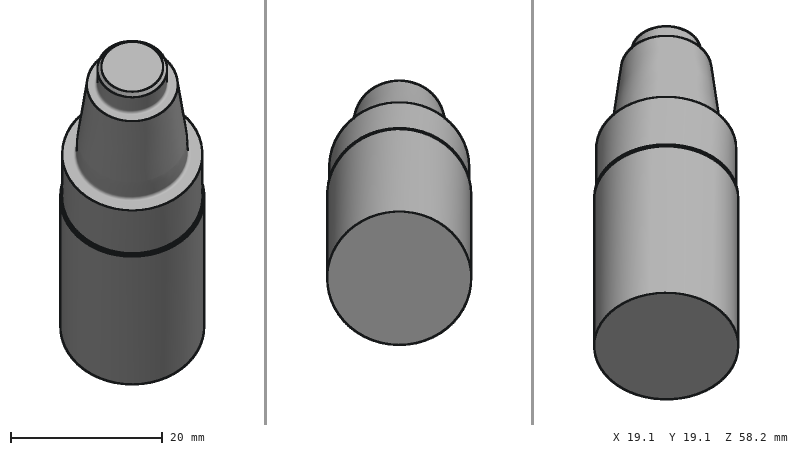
import cadquery as cq

total_height = 58.2
body_height = 28.7
flange_top = 29.1
collar_top = 38.7
taper_bottom = 42.2
taper_top = 54.25

body_radius = 19.05 / 2
collar_radius = 18.5 / 2
neck_radius = 7.35
neck_middle_radius = 7.35
taper_bottom_radius = 7.2
taper_top_radius = 6.0
tip_radius = 9.2 / 2

neck_fillet = 0.45
tip_fillet = 0.45
tip_chamfer = 0.5


def make_body():
    """Plain cylinder that carries the plug on its flat top."""
    return cq.Workplane("XY").circle(body_radius).extrude(body_height)


def concave_fillet(profile, radius, shoulder_radius, shoulder_height):
    """Add a quarter arc from a flat shoulder up onto a vertical wall."""
    inset = radius * (1 - 0.5**0.5)
    return profile.lineTo(shoulder_radius + radius, shoulder_height).threePointArc(
        (shoulder_radius + inset, shoulder_height + inset),
        (shoulder_radius, shoulder_height + radius),
    )


def make_plug():
    """Revolved plug: flange, collar, bulged neck, taper and chamfered tip."""
    profile = cq.Workplane("XZ").moveTo(0, body_height)
    profile = profile.lineTo(body_radius, body_height).lineTo(body_radius, flange_top)
    profile = profile.lineTo(collar_radius, flange_top).lineTo(collar_radius, collar_top)
    profile = concave_fillet(profile, neck_fillet, neck_radius, collar_top)

    neck_middle = (collar_top + neck_fillet + taper_bottom) / 2
    profile = profile.threePointArc(
        (neck_middle_radius, neck_middle), (taper_bottom_radius, taper_bottom)
    )
    profile = profile.lineTo(taper_top_radius, taper_top)

    profile = concave_fillet(profile, tip_fillet, tip_radius, taper_top)
    profile = profile.lineTo(tip_radius, total_height - tip_chamfer)
    profile = profile.lineTo(tip_radius - tip_chamfer, total_height)
    profile = profile.lineTo(0, total_height).close()
    return profile.revolve(360, (0, 0, 0), (0, 1, 0))


body = make_body()
plug = make_plug()

result = cq.Compound.makeCompound([body.val(), plug.val()])